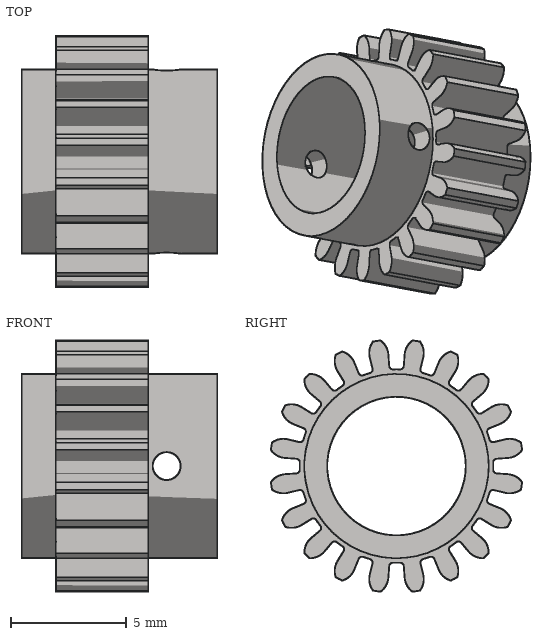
import cadquery as cq
import math

height = 10.91
collar_length = 1.5
gear_width = 4.0
hub_length = 3.0
total_length = collar_length + gear_width + hub_length

body_diameter = 8.0
bore_diameter = 6.0

tooth_count = 20
pitch_angle = 360.0 / tooth_count
tip_half_angle = 1.7
flank_half_angle = 4.9
tip_radius = height / 2 / math.cos(math.radians(pitch_angle / 2 - tip_half_angle))
flank_radius = 4.84
root_radius = 4.2
root_fillet = 0.15

pin_hole_diameter = 1.2
pin_hole_from_end = 2.2


def polar(radius, angle):
    """Point across the axis, at a radius and an angle in degrees from +Y towards +Z."""
    angle = math.radians(angle)
    return cq.Vector(0, radius * math.cos(angle), radius * math.sin(angle))


def gear_edges(center_angle):
    """Edges of one tooth and the root gap after it, going counterclockwise."""
    fillet_center_radius = root_radius + root_fillet
    fillet_angle = math.degrees(math.asin(root_fillet / fillet_center_radius))
    fillet_top_radius = fillet_center_radius * math.cos(math.radians(fillet_angle))
    root_half_angle = flank_half_angle + fillet_angle

    def point(radius, angle):
        return polar(radius, center_angle + angle)

    def half_tooth(side):
        """Fillet, radial flank and curved flank on one side of the tooth."""
        flank_angle = side * flank_half_angle
        flank_foot = point(fillet_top_radius, flank_angle)
        flank_end = point(flank_radius, flank_angle)
        outward = point(1.0, flank_angle)
        fillet = cq.Edge.makeTangentArc(
            flank_foot,
            outward * -1,
            point(root_radius, side * root_half_angle),
        )
        straight = cq.Edge.makeLine(flank_foot, flank_end)
        curved = cq.Edge.makeTangentArc(
            flank_end,
            outward,
            point(tip_radius, side * tip_half_angle),
        )
        return [fillet, straight, curved]

    tip = cq.Edge.makeThreePointArc(
        point(tip_radius, -tip_half_angle),
        point(tip_radius, 0),
        point(tip_radius, tip_half_angle),
    )
    root = cq.Edge.makeThreePointArc(
        point(root_radius, root_half_angle),
        point(root_radius, pitch_angle / 2),
        point(root_radius, pitch_angle - root_half_angle),
    )
    return half_tooth(-1) + [tip] + half_tooth(1) + [root]


def make_body():
    """Plain cylinder forming the collar and the hub."""
    return cq.Workplane("YZ").circle(body_diameter / 2).extrude(total_length)


def make_gear():
    """Toothed disc between the collar and the hub."""
    edges = []
    for index in range(tooth_count):
        edges += gear_edges((index + 0.5) * pitch_angle)
    outline = cq.Wire.assembleEdges(edges)
    disc = cq.Solid.extrudeLinear(outline, [], cq.Vector(gear_width, 0, 0))
    return cq.Workplane(disc).translate((collar_length, 0, 0))


def make_bore():
    """Bore along the full length."""
    return cq.Workplane("YZ").circle(bore_diameter / 2).extrude(total_length)


def make_pin_hole():
    """Hole along Y, crossing the axis."""
    return (
        cq.Workplane("XZ", origin=(total_length - pin_hole_from_end, 0, 0))
        .circle(pin_hole_diameter / 2)
        .extrude(body_diameter / 2, both=True)
    )


result = make_body().union(make_gear()).cut(make_bore()).cut(make_pin_hole())